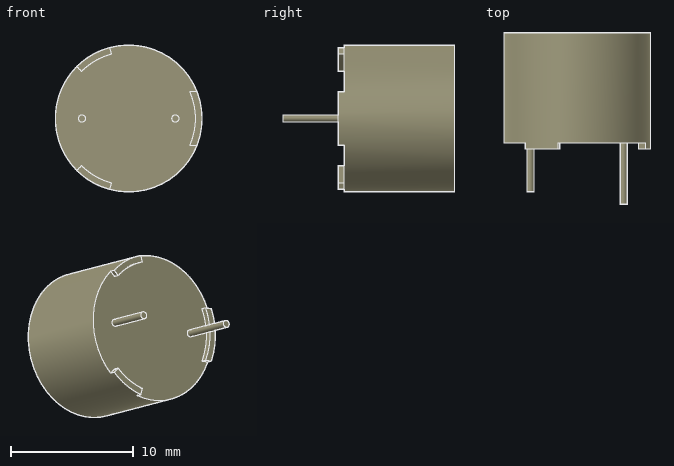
import cadquery as cq
import math

total_length = 14.0
long_pin_length = 5.0
short_pin_length = 3.99
body_length = total_length - long_pin_length
body_diameter = 12.0
body_radius = body_diameter / 2

pin_radius = 0.3
pin_offset = 3.81

foot_height = 0.5
foot_inner_radius = 5.45
side_foot_width = 4.37
radial_foot_angle = 120.0
radial_foot_span = 30.0

trim_reach = 1.2 * body_radius


def pin_face_plane():
    """Plane at Y = 0 with local X, Y along global X, Z and its normal along -Y."""
    return cq.Workplane("XZ")


def polar(radius, angle):
    """Point at a radius and an angle in degrees."""
    return (radius * math.cos(math.radians(angle)), radius * math.sin(math.radians(angle)))


def radial_foot_blank(middle_angle):
    """Wedge from the axis to beyond the rim, giving a foot with radial ends."""
    start = middle_angle - radial_foot_span / 2
    end = middle_angle + radial_foot_span / 2
    return (
        pin_face_plane()
        .polyline([(0, 0), polar(trim_reach, start), polar(trim_reach, end)])
        .close()
        .extrude(foot_height)
    )


def side_foot_blank():
    """Bar from the axis to beyond the +X rim, giving a foot with ends parallel to X."""
    return (
        pin_face_plane()
        .center(trim_reach / 2, 0)
        .rect(trim_reach, side_foot_width)
        .extrude(foot_height)
    )


def housing():
    """Cylinder whose pin end is cut back to the face everywhere but at the feet."""
    recess = pin_face_plane().rect(2 * trim_reach, 2 * trim_reach).extrude(foot_height)
    recess = recess.cut(side_foot_blank())
    for angle in (radial_foot_angle, -radial_foot_angle):
        recess = recess.cut(radial_foot_blank(angle))
    inner_recess = pin_face_plane().circle(foot_inner_radius).extrude(foot_height)

    cylinder = (
        pin_face_plane()
        .workplane(offset=-body_length)
        .circle(body_radius)
        .extrude(body_length + foot_height)
    )
    return cylinder.cut(inner_recess).cut(recess)


def pin(x, length):
    """Round pin standing on the pin face."""
    return pin_face_plane().center(x, 0).circle(pin_radius).extrude(length)


result = (
    housing()
    .union(pin(-pin_offset, short_pin_length))
    .union(pin(pin_offset, long_pin_length))
)